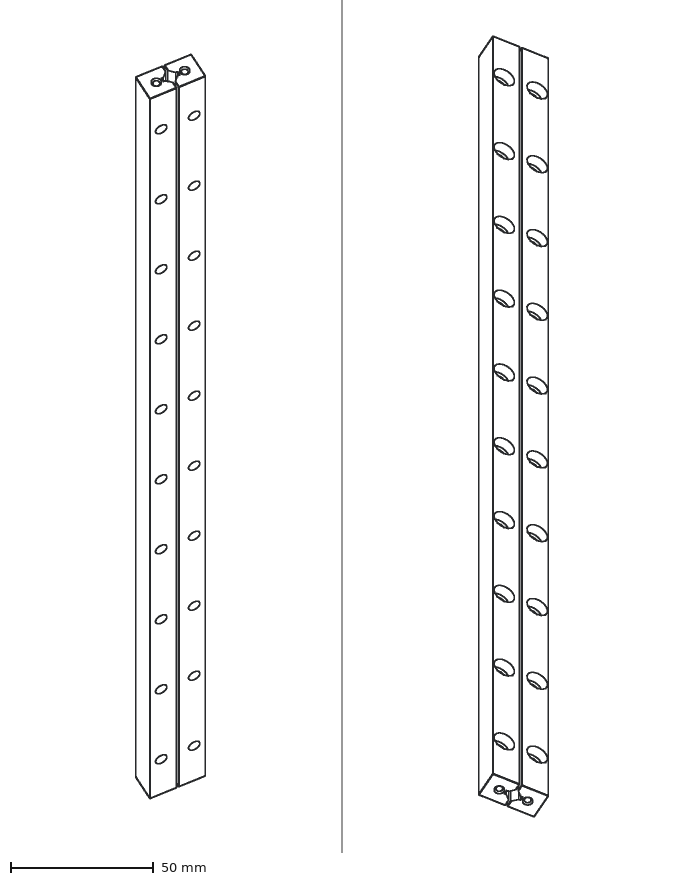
import cadquery as cq

LENGTH = 400.0
PAIR_WIDTH = 22.0
THICKNESS = PAIR_WIDTH / 2
RAIL_GAP = 1.0

EDGE_CHAMFER = 0.15

GROOVE_TIP_OFFSET = 3.0

RELIEF_WIDTH = 1.5
RELIEF_BOTTOM_OFFSET = 3.0

HOLE_COUNT = 10
HOLE_PITCH = LENGTH / HOLE_COUNT
COUNTERBORE_WALL = 0.5
HOLE_DIAMETER = 4.5
COUNTERBORE_DIAMETER = 8.0
COUNTERBORE_DEPTH = 4.0
HOLE_EDGE_DISTANCE = COUNTERBORE_DIAMETER / 2 + COUNTERBORE_WALL

END_HOLE_DIAMETER = 2.5
END_HOLE_MOUTH_DIAMETER = 3.5
END_HOLE_DEPTH = 6.0
END_HOLE_OFFSET = 5.5


def rail_blank(side):
    """Plain bar on the given Y side (+1 or -1), with all its edges chamfered."""
    rail_width = (PAIR_WIDTH - RAIL_GAP) / 2
    center_y = side * (RAIL_GAP + rail_width) / 2
    bar = cq.Workplane("XY").center(0, center_y).rect(THICKNESS, rail_width).extrude(LENGTH)
    return bar.edges().chamfer(EDGE_CHAMFER)


def groove_cutter(side):
    """V-groove and its relief slot, running the full length of the rail on the given Y side."""
    half_relief = RELIEF_WIDTH / 2
    relief_mouth = side * (GROOVE_TIP_OFFSET - half_relief)
    relief_bottom = side * RELIEF_BOTTOM_OFFSET
    profile = [
        (-GROOVE_TIP_OFFSET, 0),
        (-half_relief, relief_mouth),
        (-half_relief, relief_bottom),
        (half_relief, relief_bottom),
        (half_relief, relief_mouth),
        (GROOVE_TIP_OFFSET, 0),
    ]
    return cq.Workplane("XY").polyline(profile).close().extrude(LENGTH)


def mounting_hole_cutter(y, z):
    """Through hole along X with its counterbore opening on the -X face."""
    start = cq.Workplane("YZ", origin=(-THICKNESS / 2, y, z))
    hole = start.circle(HOLE_DIAMETER / 2).extrude(THICKNESS)
    counterbore = start.circle(COUNTERBORE_DIAMETER / 2).extrude(COUNTERBORE_DEPTH)
    return hole.union(counterbore)


def end_hole_cutter(y, z, direction):
    """Blind hole with a countersunk mouth, going into the end face at height z (direction +1 is up)."""
    mouth_radius = END_HOLE_MOUTH_DIAMETER / 2
    radius = END_HOLE_DIAMETER / 2
    countersink_depth = mouth_radius - radius
    half_section = [
        (0, 0),
        (mouth_radius, 0),
        (radius, direction * countersink_depth),
        (radius, direction * END_HOLE_DEPTH),
        (0, direction * END_HOLE_DEPTH),
    ]
    section = cq.Workplane("XZ", origin=(0, y, z)).polyline(half_section).close()
    return section.revolve(360, (0, 0), (0, 1))


def guide_rail(side):
    """Complete rail on the given Y side (+1 or -1)."""
    rail = rail_blank(side).cut(groove_cutter(side))
    hole_y = side * (PAIR_WIDTH / 2 - HOLE_EDGE_DISTANCE)
    for index in range(HOLE_COUNT):
        rail = rail.cut(mounting_hole_cutter(hole_y, (index + 0.5) * HOLE_PITCH))
    for z, direction in ((0, 1), (LENGTH, -1)):
        rail = rail.cut(end_hole_cutter(side * END_HOLE_OFFSET, z, direction))
    return rail


rails = [guide_rail(side) for side in (-1, 1)]

result = cq.Compound.makeCompound([rail.val() for rail in rails])